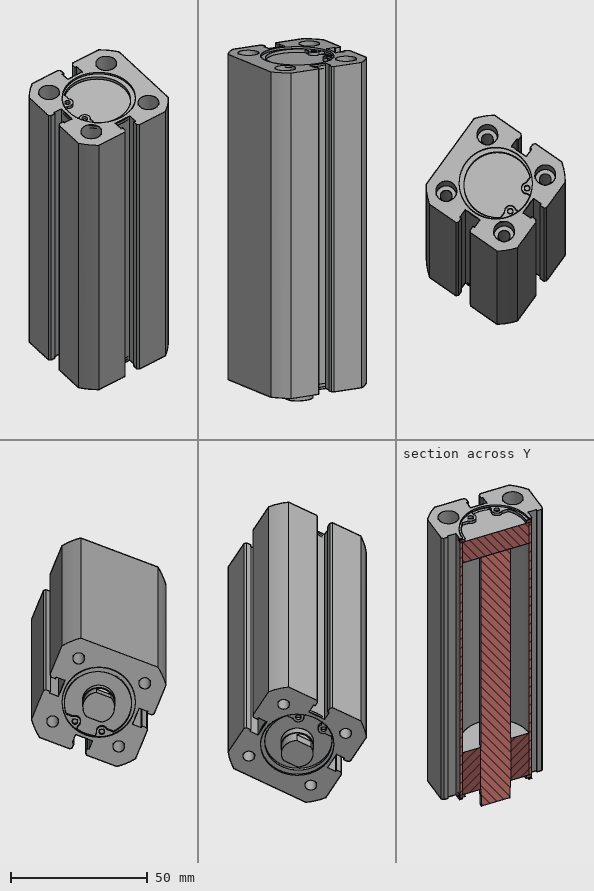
import cadquery as cq

BODY_WIDTH = 41.0
BODY_LENGTH = 123.0
CORNER_DIAMETER = 51.0
BORE_DIAMETER = 26.8

SLOT_FLOOR = 14.6
SLOT_OPENING = 5.2
SLOT_INNER_WIDTH = 6.6
SLOT_LIP = 2.5
SLOT_EDGE_CHAMFER = 0.7
SLOT_ANGLES = (0, 180, 270)

HOLE_PITCH = 26.0
HOLE_DIAMETER = 4.3
COUNTERBORE_DIAMETER = 7.6
COUNTERBORE_DEPTH = 8.0

RING_INSET = 0.75
RING_THICKNESS = 1.2
RING_RADIUS = 14.45
RING_INNER_RADIUS = 12.3
RING_INNER_SHIFT = 0.8
RING_GAP = 7.3
EAR_X = 5.3
EAR_Y = -10.3
EAR_RADIUS = 2.05
EAR_HOLE_DIAMETER = 2.0
EAR_ROOT_X = 9.2
EAR_ROOT_Y = -8.8

REAR_COVER_THICKNESS = 10.0
FRONT_COVER_THICKNESS = 20.0

ROD_DIAMETER = 12.0
ROD_PROTRUSION = 6.0
ROD_SHOULDER = 1.0
TIP_DIAMETER = 11.6
FLATS_WIDTH = 10.0
FLATS_LENGTH = 3.9

COVER_INSET = RING_INSET + RING_THICKNESS
REAR_COVER_TOP = BODY_LENGTH - COVER_INSET
REAR_COVER_BOTTOM = REAR_COVER_TOP - REAR_COVER_THICKNESS
UPPER_RING_Z = REAR_COVER_TOP
LOWER_RING_Z = RING_INSET


def disc(diameter, bottom, height):
    return cq.Workplane("XY").workplane(offset=bottom).circle(diameter / 2).extrude(height)


def make_slot(angle):
    """T-slot cutter for the +X face, turned about Z to its own face."""
    face = BODY_WIDTH / 2
    lip_inside = face - SLOT_LIP
    half_opening = SLOT_OPENING / 2
    half_inner = SLOT_INNER_WIDTH / 2
    half_mouth = half_opening + SLOT_EDGE_CHAMFER
    slot = (
        cq.Workplane("XY")
        .moveTo(SLOT_FLOOR, -half_inner)
        .lineTo(lip_inside, -half_inner)
        .lineTo(lip_inside, -half_opening)
        .lineTo(face - SLOT_EDGE_CHAMFER, -half_opening)
        .lineTo(face, -half_mouth)
        .lineTo(face, half_mouth)
        .lineTo(face - SLOT_EDGE_CHAMFER, half_opening)
        .lineTo(lip_inside, half_opening)
        .lineTo(lip_inside, half_inner)
        .lineTo(SLOT_FLOOR, half_inner)
        .close()
        .extrude(BODY_LENGTH)
    )
    return slot.rotate((0, 0, 0), (0, 0, 1), angle)


def make_housing():
    body = cq.Workplane("XY").rect(BODY_WIDTH, BODY_WIDTH).extrude(BODY_LENGTH)
    body = body.intersect(disc(CORNER_DIAMETER, 0, BODY_LENGTH))
    body = body.cut(disc(BORE_DIAMETER, 0, BODY_LENGTH))
    for angle in SLOT_ANGLES:
        body = body.cut(make_slot(angle))
    for ring_z in (LOWER_RING_Z, UPPER_RING_Z):
        body = body.cut(disc(2 * RING_RADIUS, ring_z, RING_THICKNESS))
    return (
        body.faces(">Z")
        .workplane(origin=(0, 0, BODY_LENGTH))
        .rect(HOLE_PITCH, HOLE_PITCH, forConstruction=True)
        .vertices()
        .cboreHole(HOLE_DIAMETER, COUNTERBORE_DIAMETER, COUNTERBORE_DEPTH)
    )


def make_ear(plane, side):
    """Round plier ear and the web that ties it to the ring; side is -1 or +1."""
    ear = plane.center(side * EAR_X, EAR_Y).circle(EAR_RADIUS).extrude(RING_THICKNESS)
    web = (
        plane.moveTo(side * RING_GAP / 2, EAR_Y)
        .lineTo(side * EAR_X, EAR_Y)
        .lineTo(side * EAR_X, EAR_ROOT_Y)
        .lineTo(side * EAR_ROOT_X, EAR_ROOT_Y)
        .lineTo(side * EAR_ROOT_X, -RING_RADIUS)
        .lineTo(side * RING_GAP / 2, -RING_RADIUS)
        .close()
        .extrude(RING_THICKNESS)
    )
    hole = plane.center(side * EAR_X, EAR_Y).circle(EAR_HOLE_DIAMETER / 2).extrude(RING_THICKNESS)
    return ear.union(web).cut(hole)


def make_retaining_ring(bottom):
    plane = cq.Workplane("XY").workplane(offset=bottom)
    outer = plane.circle(RING_RADIUS).extrude(RING_THICKNESS)
    opening = plane.center(0, -RING_INNER_SHIFT).circle(RING_INNER_RADIUS).extrude(RING_THICKNESS)
    gap = plane.center(0, -RING_RADIUS).rect(RING_GAP, 2 * RING_RADIUS).extrude(RING_THICKNESS)
    ring = outer.cut(opening).cut(gap)
    for side in (-1, 1):
        ring = ring.union(make_ear(plane, side).intersect(outer))
    return ring


def make_rear_cover():
    return disc(BORE_DIAMETER, REAR_COVER_BOTTOM, REAR_COVER_THICKNESS)


def make_front_cover():
    cover = disc(BORE_DIAMETER, COVER_INSET, FRONT_COVER_THICKNESS)
    return cover.cut(disc(ROD_DIAMETER, COVER_INSET, FRONT_COVER_THICKNESS))


def make_piston_rod():
    tip_length = ROD_PROTRUSION - ROD_SHOULDER
    shank = disc(ROD_DIAMETER, -ROD_SHOULDER, REAR_COVER_BOTTOM + ROD_SHOULDER)
    tip = disc(TIP_DIAMETER, -ROD_PROTRUSION, tip_length)
    half_flats = FLATS_WIDTH / 2
    runout = tip_length - FLATS_LENGTH
    envelope = (
        cq.Workplane("YZ")
        .moveTo(-half_flats, -ROD_PROTRUSION)
        .lineTo(-half_flats, FLATS_LENGTH - ROD_PROTRUSION)
        .lineTo(-half_flats - runout, -ROD_SHOULDER)
        .lineTo(half_flats + runout, -ROD_SHOULDER)
        .lineTo(half_flats, FLATS_LENGTH - ROD_PROTRUSION)
        .lineTo(half_flats, -ROD_PROTRUSION)
        .close()
        .extrude(TIP_DIAMETER / 2, both=True)
    )
    return shank.union(tip.intersect(envelope))


housing = make_housing()
rear_cover = make_rear_cover()
front_cover = make_front_cover()
piston_rod = make_piston_rod()
retaining_rings = [make_retaining_ring(ring_z) for ring_z in (LOWER_RING_Z, UPPER_RING_Z)]

result = cq.Compound.makeCompound(
    [
        housing.val(),
        rear_cover.val(),
        front_cover.val(),
        piston_rod.val(),
        *[ring.val() for ring in retaining_rings],
    ]
)